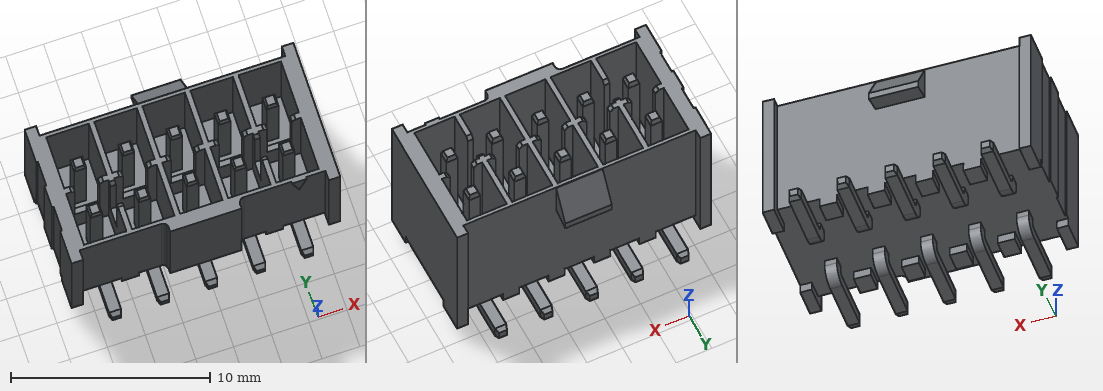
import cadquery as cq

columns = 5
column_span = 10.17
pitch = column_span / (columns - 1)
overall_length = 14.22
overall_width = 9.58
overall_height = 8.76

body_half_width = 3.15
body_bottom = 1.18
standoff_bottom = 0.65
end_plate_thickness = 0.61
end_plate_half_width = 3.68

cavity_length = 2.25
column_wall_thickness = pitch - cavity_length
cavity_depth = 6.4
row_wall_thickness = 0.3
outer_wall_thickness = 0.2

notch_chamfer = 0.2
notch_depth = 4.27
row_notch_width = 1.31
column_notch_width = 1.0
column_notch_center = -0.94

groove_inner = 0.58
groove_outer = 1.89
groove_depth = 0.1

foot_width = 0.91
foot_inner = 2.13

key_width = 3.78
key_fillet = 0.3
latch_width = 2.6
latch_reach = 4.18
latch_root_bottom = 6.74
latch_tip_bottom = 6.45
latch_tip_top = 6.88
latch_root_top = 8.7
mark_half_width = 0.4
mark_height = 1.52
mark_thickness = 0.1

pin_size = 0.64
pin_tip_size = 0.45
pin_tip_length = 0.28
pin_top_recess = 0.25
pin_top = overall_height - pin_top_recess
bend_outer_radius = 0.84
bend_inner_radius = bend_outer_radius - pin_size

body_height = overall_height - body_bottom
half_length = overall_length / 2
row_y = pitch / 2
column_x = [i * pitch - column_span / 2 for i in range(columns)]
wall_x = [x + pitch / 2 for x in column_x[:-1]]


def block(x0, x1, y0, y1, z0, z1):
    """Axis-aligned box between opposite corners."""
    return cq.Workplane("XY").box(x1 - x0, y1 - y0, z1 - z0, centered=False).translate((x0, y0, z0))


def make_housing():
    """Plain body with a wider plate at each end and an open space under the middle."""
    housing = block(-half_length, half_length, -body_half_width, body_half_width, body_bottom, overall_height)
    for x0 in (-half_length, half_length - end_plate_thickness):
        x1 = x0 + end_plate_thickness
        plate = block(x0, x1, -end_plate_half_width, end_plate_half_width, standoff_bottom, overall_height)
        gap = block(x0, x1, -foot_inner, foot_inner, standoff_bottom, body_bottom)
        housing = housing.union(plate.cut(gap))
    return housing


def make_feet():
    """Standoff feet under both long walls, midway between the columns."""
    feet = cq.Workplane("XY")
    for x in wall_x:
        for y0 in (-body_half_width, foot_inner):
            y1 = y0 + body_half_width - foot_inner
            feet = feet.add(block(x - foot_width / 2, x + foot_width / 2, y0, y1, standoff_bottom, body_bottom))
    return feet.combine()


def make_key():
    """Raised panel on the front wall, blended into the wall by a concave fillet on each side."""
    half_width = key_width / 2
    wall_y = -body_half_width
    blend_x = half_width + key_fillet
    blend_y = wall_y - key_fillet
    return (
        cq.Workplane("XY", origin=(0, 0, body_bottom))
        .moveTo(-blend_x, wall_y)
        .radiusArc((-half_width, blend_y), key_fillet)
        .lineTo(-half_width, -end_plate_half_width)
        .lineTo(half_width, -end_plate_half_width)
        .lineTo(half_width, blend_y)
        .radiusArc((blend_x, wall_y), key_fillet)
        .close()
        .extrude(body_height)
    )


def make_latch():
    """Latch ramp at the middle of the back wall."""
    profile = [
        (body_half_width, latch_root_bottom),
        (latch_reach, latch_tip_bottom),
        (latch_reach, latch_tip_top),
        (body_half_width, latch_root_top),
    ]
    return cq.Workplane("YZ").polyline(profile).close().extrude(latch_width / 2, both=True)


def make_pin_one_mark():
    """Thin raised triangle on the front wall, pointing down above the last column."""
    x = column_x[-1]
    corners = [
        (x - mark_half_width, overall_height),
        (x + mark_half_width, overall_height),
        (x, overall_height - mark_height),
    ]
    return cq.Workplane("XZ", origin=(0, -body_half_width, 0)).polyline(corners).close().extrude(mark_thickness)


def make_cavities():
    """Two rows of contact cavities open at the top."""
    inner_y = row_wall_thickness / 2
    outer_y = body_half_width - outer_wall_thickness
    floor_z = overall_height - cavity_depth
    half_cavity = cavity_length / 2
    cavities = cq.Workplane("XY")
    for x in column_x:
        for y0, y1 in ((inner_y, outer_y), (-outer_y, -inner_y)):
            cavities = cavities.add(block(x - half_cavity, x + half_cavity, y0, y1, floor_z, overall_height))
    return cavities.combine()


def make_notch(plane, center, width, wall_center, wall_thickness):
    """Wall notch with chamfered mouth; the plane is the wall's own plane."""
    half_width = width / 2
    mouth_half_width = half_width + notch_chamfer
    chamfer_z = overall_height - notch_chamfer
    bottom_z = overall_height - notch_depth
    profile = [
        (center - mouth_half_width, overall_height),
        (center - half_width, chamfer_z),
        (center - half_width, bottom_z),
        (center + half_width, bottom_z),
        (center + half_width, chamfer_z),
        (center + mouth_half_width, overall_height),
    ]
    origin = (wall_center, 0, 0) if plane == "YZ" else (0, wall_center, 0)
    return cq.Workplane(plane, origin=origin).polyline(profile).close().extrude(wall_thickness / 2, both=True)


def make_notches():
    """Notches between the rows in every column, and in the outermost front-row column walls."""
    notches = cq.Workplane("XY")
    for x in column_x:
        notches = notches.add(make_notch("XZ", x, row_notch_width, 0, row_wall_thickness))
    for x in (wall_x[0], wall_x[-1]):
        notches = notches.add(make_notch("YZ", column_notch_center, column_notch_width, x, column_wall_thickness))
    return notches.combine()


def make_grooves():
    """Two shallow full-height grooves in the outer face of the left end plate."""
    left = -half_length
    grooves = cq.Workplane("XY")
    for y0, y1 in ((groove_inner, groove_outer), (-groove_outer, -groove_inner)):
        grooves = grooves.add(block(left, left + groove_depth, y0, y1, standoff_bottom, overall_height))
    return grooves.combine()


def make_pin_tip(plane):
    """Tapered pin end growing from the given plane."""
    return (
        cq.Workplane(plane)
        .rect(pin_size, pin_size)
        .workplane(offset=pin_tip_length)
        .rect(pin_tip_size, pin_tip_size)
        .loft(ruled=True)
    )


def make_pin():
    """Back-row contact at x = 0: upright blade, bend and solder tail toward +Y, tapered at both ends."""
    inner_y = row_y - pin_size / 2
    outer_y = row_y + pin_size / 2
    tail_end = overall_width / 2 - pin_tip_length
    blade_end = pin_top - pin_tip_length
    shank = (
        cq.Workplane("YZ")
        .moveTo(inner_y, blade_end)
        .lineTo(inner_y, bend_outer_radius)
        .radiusArc((inner_y + bend_outer_radius, 0), -bend_outer_radius)
        .lineTo(tail_end, 0)
        .lineTo(tail_end, pin_size)
        .lineTo(outer_y + bend_inner_radius, pin_size)
        .radiusArc((outer_y, pin_size + bend_inner_radius), bend_inner_radius)
        .lineTo(outer_y, blade_end)
        .close()
        .extrude(pin_size / 2, both=True)
    )
    blade_tip = make_pin_tip("XY").translate((0, row_y, blade_end))
    tail_tip = make_pin_tip("ZX").translate((0, tail_end, pin_size / 2))
    return shank.union(blade_tip).union(tail_tip)


result = (
    make_housing()
    .union(make_feet())
    .union(make_key())
    .union(make_latch())
    .union(make_pin_one_mark())
    .cut(make_cavities())
    .cut(make_notches())
    .cut(make_grooves())
)

back_pin = make_pin()
front_pin = back_pin.mirror("XZ")
for x in column_x:
    for pin in (back_pin, front_pin):
        result = result.union(pin.translate((x, 0, 0)))